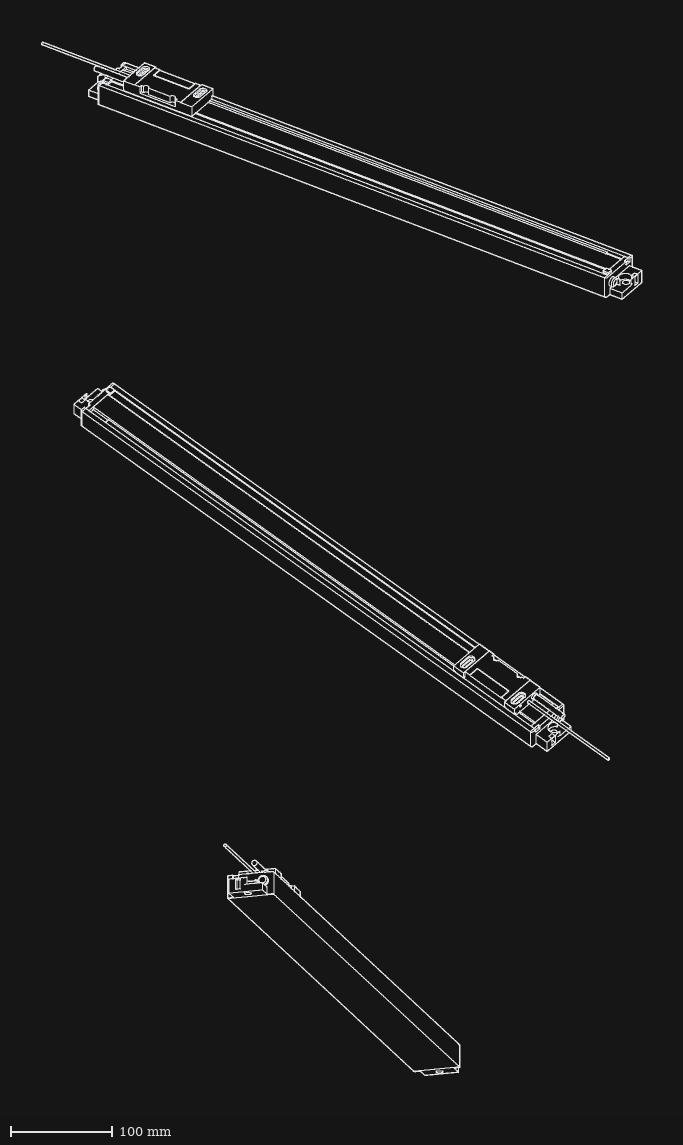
import cadquery as cq

TOTAL_LENGTH = 700.0
TOTAL_HEIGHT = 35.0
RAIL_WIDTH = 47.5
RAIL_HEIGHT = 23.0

FOOT_START = 66.5
FOOT_LENGTH = 15.0
CAP_THICKNESS = 2.0
CAP_CORNER_RADIUS = 1.5
RAIL_START = FOOT_START + FOOT_LENGTH + CAP_THICKNESS
RAIL_LENGTH = TOTAL_LENGTH - RAIL_START - FOOT_LENGTH - CAP_THICKNESS
RAIL_MIDDLE = RAIL_START + RAIL_LENGTH / 2

TONGUE_LENGTH = 4.0
TONGUE_DEPTH = 4.0
TONGUE_HALF_WIDTH = 18.0

WIDE_GROOVE_Y = (12.0, 18.0)
WIDE_GROOVE_DEPTH = 4.0
SHALLOW_GROOVE_Y = (-18.0, -10.0)
SHALLOW_GROOVE_DEPTH = 1.5
GROOVE_STEP_END = 659.0
GROOVE_STEP_HEIGHT = 1.5

FOOT_HALF_WIDTH = 17.5
FOOT_HEIGHT = 15.0
LEDGE_HEIGHT = 8.0
LEDGE_EDGE_Y = -8.0
BOLT_FROM_END = 7.0
BOLT_HOLE_DIAMETER = 7.0
BOLT_SEAT_RADIUS = 6.65
BOLT_SEAT_Y = -1.5
BOLT_SEAT_OPENING_Y = (LEDGE_EDGE_Y, BOLT_SEAT_Y)
SOCKET_Y = (5.5, 10.5)
SOCKET_Z = (3.5, 14.0)
SOCKET_DEPTH = 4.0

PLUG_DIAMETER = 10.0
PLUG_LENGTH = 4.0
PLUG_CHAMFER = 1.5
PLUG_Y = -14.0
PLUG_Z = 14.0
TAB_LENGTH = 6.0
TAB_Y = (-17.0, -11.0)
TAB_HEIGHT = 2.0

HEAD_START = 108.0
HEAD_LENGTH = 81.0
HEAD_Y = (-17.5, 18.0)
EAR_LENGTH = 13.0
EAR_DROP = 0.35
EAR_OVERHANG = 2.0
EAR_OVERHANG_BOTTOM = 26.5
EAR_SLOT_Y = (-1.5, 16.0)
EAR_SLOT_WIDTH = 8.0
EAR_SLOT_DEPTH = 4.0
EAR_SLOT_STEP = 2.0
LABEL_LENGTH = 42.0
LABEL_Y_START = 7.0
LABEL_DEPTH = 1.0
FRONT_POCKET_LENGTH = 42.0
FRONT_POCKET_DEPTH = 3.0
FRONT_POCKET_FLOOR = 27.0
POCKET_NOTCH_RADIUS = 3.0
POCKET_NOTCH_SPACING = 31.5
LAMP_DIAMETER = 2.0
LAMP_Y = 11.0
LAMP_Z = 31.5
LAMP_DEPTH = 1.5

CABLE_DIAMETER = 3.0
CABLE_Z = 28.0
SLEEVE_START = 68.5
SLEEVE_DIAMETER = 5.5
SLEEVE_Y = -8.5
SLEEVE_Z = 29.5
COLLAR_DIAMETER = 7.0
COLLAR_LENGTH = 2.0


def box(x, y, z):
    """Block between the (low, high) limits given for each axis."""
    size = [high - low for low, high in (x, y, z)]
    return cq.Workplane("XY").box(*size, centered=False).translate((x[0], y[0], z[0]))


def rod(x, y, z, diameter):
    """Cylinder along X between the two x limits."""
    start, end = x
    plane = cq.Workplane("YZ", origin=(start, y, z))
    return plane.circle(diameter / 2).extrude(end - start)


def upright(x, y, z, radius):
    """Cylinder along Z between the two z limits."""
    low, high = z
    return cq.Workplane("XY", origin=(x, y, low)).circle(radius).extrude(high - low)


def groove(x, y_limits, depth):
    return box(x, y_limits, (RAIL_HEIGHT - depth, RAIL_HEIGHT))


def to_high_end(shape):
    """Mirror image of a low-X end feature at the other end of the rail."""
    return shape.mirror("YZ", (RAIL_MIDDLE, 0, 0))


def make_tongue():
    """Part of the low-X cap that lies in the end of the rail; it also shapes the rail's seat."""
    x = (RAIL_START, RAIL_START + TONGUE_LENGTH)
    y = (-TONGUE_HALF_WIDTH, TONGUE_HALF_WIDTH)
    return groove(x, y, TONGUE_DEPTH)


def make_rail():
    x = (RAIL_START, RAIL_START + RAIL_LENGTH)
    half_width = RAIL_WIDTH / 2
    rail = box(x, (-half_width, half_width), (0, RAIL_HEIGHT))
    rail = rail.cut(groove(x, WIDE_GROOVE_Y, WIDE_GROOVE_DEPTH))
    rail = rail.cut(groove(x, SHALLOW_GROOVE_Y, SHALLOW_GROOVE_DEPTH))
    groove_floor = RAIL_HEIGHT - WIDE_GROOVE_DEPTH
    step_z = (groove_floor, groove_floor + GROOVE_STEP_HEIGHT)
    rail = rail.union(box((RAIL_START, GROOVE_STEP_END), WIDE_GROOVE_Y, step_z))

    low_seat = make_tongue()
    return rail.cut(low_seat).cut(to_high_end(low_seat))


def make_foot():
    """Foot of the low-X cap: a tall block with a lower ledge on its -Y side."""
    x = (FOOT_START, FOOT_START + FOOT_LENGTH)
    foot = box(x, (-FOOT_HALF_WIDTH, FOOT_HALF_WIDTH), (0, LEDGE_HEIGHT))
    foot = foot.union(box(x, (LEDGE_EDGE_Y, FOOT_HALF_WIDTH), (0, FOOT_HEIGHT)))

    bolt_x = FOOT_START + BOLT_FROM_END
    seat_z = (LEDGE_HEIGHT, FOOT_HEIGHT)
    seat = upright(bolt_x, BOLT_SEAT_Y, seat_z, BOLT_SEAT_RADIUS)
    seat = seat.union(box((FOOT_START, bolt_x), BOLT_SEAT_OPENING_Y, seat_z))
    hole = upright(bolt_x, 0, (0, FOOT_HEIGHT), BOLT_HOLE_DIAMETER / 2)
    socket = box((FOOT_START, FOOT_START + SOCKET_DEPTH), SOCKET_Y, SOCKET_Z)
    return foot.cut(seat).cut(hole).cut(socket)


def make_low_cap():
    """End cap at the low-X end, with its foot, plug and top tab."""
    face_x = FOOT_START + FOOT_LENGTH
    half_width = RAIL_WIDTH / 2
    plate = box((face_x, RAIL_START), (-half_width, half_width), (0, RAIL_HEIGHT))
    plate = plate.faces("<X").edges("|Z").fillet(CAP_CORNER_RADIUS)
    plate = plate.cut(groove((face_x, RAIL_START), WIDE_GROOVE_Y, WIDE_GROOVE_DEPTH))

    plug = rod((face_x - PLUG_LENGTH, face_x), PLUG_Y, PLUG_Z, PLUG_DIAMETER)
    plug = plug.faces("<X").edges().chamfer(PLUG_CHAMFER)
    tab = box((RAIL_START, RAIL_START + TAB_LENGTH), TAB_Y, (RAIL_HEIGHT, RAIL_HEIGHT + TAB_HEIGHT))
    return plate.union(make_foot()).union(plug).union(make_tongue()).union(tab)


def make_ear(x):
    """Lowered, slotted fixing ear of the sensor head that overhangs on the +Y side."""
    top = TOTAL_HEIGHT - EAR_DROP
    ear = box(x, HEAD_Y, (RAIL_HEIGHT, top))
    overhang_y = (HEAD_Y[1], HEAD_Y[1] + EAR_OVERHANG)
    ear = ear.union(box(x, overhang_y, (EAR_OVERHANG_BOTTOM, top)))
    slot_length = EAR_SLOT_Y[1] - EAR_SLOT_Y[0]
    middle = (sum(x) / 2, sum(EAR_SLOT_Y) / 2)
    for depth, inset in ((EAR_SLOT_DEPTH / 2, 0), (EAR_SLOT_DEPTH, EAR_SLOT_STEP)):
        slot = cq.Workplane("XY", origin=(*middle, top - depth))
        slot = slot.slot2D(slot_length - 2 * inset, EAR_SLOT_WIDTH - 2 * inset, 90).extrude(depth)
        ear = ear.cut(slot)
    return ear


def make_sensor_head():
    end = HEAD_START + HEAD_LENGTH
    middle_x = HEAD_START + HEAD_LENGTH / 2
    body = box((HEAD_START + EAR_LENGTH, end - EAR_LENGTH), HEAD_Y, (RAIL_HEIGHT, TOTAL_HEIGHT))
    label_x = (middle_x - LABEL_LENGTH / 2, middle_x + LABEL_LENGTH / 2)
    body = body.cut(box(label_x, (LABEL_Y_START, HEAD_Y[1]), (TOTAL_HEIGHT - LABEL_DEPTH, TOTAL_HEIGHT)))
    pocket_x = (middle_x - FRONT_POCKET_LENGTH / 2, middle_x + FRONT_POCKET_LENGTH / 2)
    pocket_y = (HEAD_Y[0], HEAD_Y[0] + FRONT_POCKET_DEPTH)
    pocket_z = (FRONT_POCKET_FLOOR, TOTAL_HEIGHT)
    body = body.cut(box(pocket_x, pocket_y, pocket_z))
    for side in (-1, 1):
        notch_x = middle_x + side * POCKET_NOTCH_SPACING / 2
        body = body.cut(upright(notch_x, pocket_y[1], pocket_z, POCKET_NOTCH_RADIUS))

    head = body
    for ear_start in (HEAD_START, end - EAR_LENGTH):
        head = head.union(make_ear((ear_start, ear_start + EAR_LENGTH)))

    lamp = rod((HEAD_START, HEAD_START + LAMP_DEPTH), LAMP_Y, LAMP_Z, LAMP_DIAMETER)
    cable = rod((0, HEAD_START), 0, CABLE_Z, CABLE_DIAMETER)
    sleeve = rod((SLEEVE_START, HEAD_START), SLEEVE_Y, SLEEVE_Z, SLEEVE_DIAMETER)
    collar = rod((HEAD_START - COLLAR_LENGTH, HEAD_START), SLEEVE_Y, SLEEVE_Z, COLLAR_DIAMETER)
    return head.cut(lamp).union(cable).union(sleeve).union(collar)


rail = make_rail()
low_cap = make_low_cap()
high_cap = to_high_end(low_cap)
sensor_head = make_sensor_head()

result = cq.Compound.makeCompound([rail.val(), low_cap.val(), high_cap.val(), sensor_head.val()])